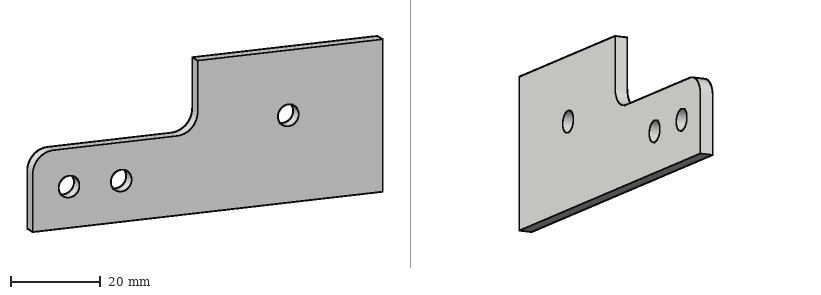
import cadquery as cq

thickness = 3.15
length = 85.0
height = 35.2

body_length = 45.0
arm_height = 18.4
corner_radius = 5.0

hole_diameter = 5.0
body_hole_from_back = 22.95
body_hole_height = 20.15
arm_hole_from_tip = 8.8
arm_hole_spacing = 12.7
arm_hole_height = 9.5

back = length / 2
tip = -length / 2
step = back - body_length


def make_plate():
    """Stepped profile in the YZ plane, extruded along X."""
    return (
        cq.Workplane("YZ", origin=(-thickness / 2, 0, 0))
        .moveTo(tip, 0)
        .lineTo(back, 0)
        .lineTo(back, height)
        .lineTo(step, height)
        .lineTo(step, arm_height)
        .lineTo(tip, arm_height)
        .close()
        .extrude(thickness)
    )


def round_arm_corners(plate):
    """Round the inside corner at the step and the top corner at the arm tip."""
    for corner_y in (step, tip):
        corner = cq.selectors.NearestToPointSelector((0, corner_y, arm_height))
        plate = plate.edges("|X").edges(corner).fillet(corner_radius)
    return plate


def make_hole_cutters():
    """One pin for the body hole and two for the pair of arm holes."""
    first_arm_hole = tip + arm_hole_from_tip
    centers = [
        (back - body_hole_from_back, body_hole_height),
        (first_arm_hole, arm_hole_height),
        (first_arm_hole + arm_hole_spacing, arm_hole_height),
    ]
    return (
        cq.Workplane("YZ", origin=(-thickness / 2, 0, 0))
        .pushPoints(centers)
        .circle(hole_diameter / 2)
        .extrude(thickness)
    )


result = round_arm_corners(make_plate()).cut(make_hole_cutters())